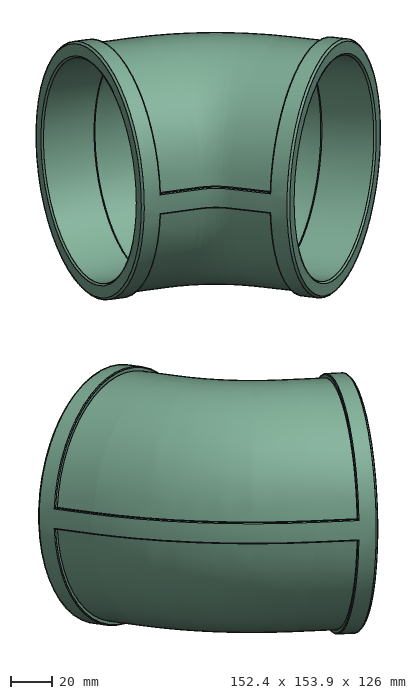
import cadquery as cq
import math


bend_angle = 45
end_to_corner = 64.5
straight_length = 31.0

collar_diameter = 126.0
collar_length = 10.0
collar_chamfer = 1.0
body_diameter = 121.8
rib_width = 10.5
recess_edge_chamfer = 0.5

bend_bore_diameter = 113.8
end_bore_diameter = 110.1
end_bore_length = 28.6
bore_chamfer = 0.9

collar_radius = collar_diameter / 2
bend_radius = (end_to_corner - straight_length) / math.tan(math.radians(bend_angle / 2))

first_end = cq.Plane(origin=(collar_radius, 0, 0), xDir=(1, 0, 0), normal=(0, 1, 0))

turn = math.radians(bend_angle)
axis_x = math.sin(turn)
axis_y = math.cos(turn)
second_end = cq.Plane(
    origin=(collar_radius + end_to_corner * axis_x, end_to_corner * (1 + axis_y), 0),
    xDir=(axis_y, -axis_x, 0),
    normal=(-axis_x, -axis_y, 0),
)
end_planes = (first_end, second_end)


def bent_rod(diameter, end_gap):
    """Solid rod along the elbow axis, stopping end_gap short of each end face."""
    radius = diameter / 2
    bend_start = cq.Workplane(first_end).workplane(offset=straight_length)
    rod = bend_start.circle(radius).revolve(bend_angle, (bend_radius, -1.5), (bend_radius, 1.5))
    for end_plane in end_planes:
        straight = (
            cq.Workplane(end_plane)
            .workplane(offset=end_gap)
            .circle(radius)
            .extrude(straight_length - end_gap)
        )
        rod = rod.union(straight)
    return rod


def collar(end_plane):
    """Raised band around one end, chamfered at its outer rim and its recess edge."""
    band = cq.Workplane("XY").circle(collar_radius).extrude(collar_length)
    band = band.faces("<Z").edges().chamfer(collar_chamfer)
    band = band.faces(">Z").edges().chamfer(recess_edge_chamfer)
    return band.val().moved(cq.Location(end_plane))


def ribs():
    """Bands flush with the collars along the inside and outside of the bend.

    They run on inside the collars as far as the outer rim chamfers.
    """
    reach = 6 * end_to_corner
    slab = cq.Workplane("XY").box(reach, reach, rib_width)
    band = bent_rod(collar_diameter, collar_chamfer).intersect(slab)
    return band.faces("<Z or >Z").edges().chamfer(recess_edge_chamfer)


def end_bore(end_plane):
    """Cutter for the narrower end bore, flared by a chamfer at both of its rims."""
    bore_radius = end_bore_diameter / 2
    flare_radius = bore_radius + bore_chamfer
    profile = [
        (0, 0),
        (flare_radius, 0),
        (bore_radius, bore_chamfer),
        (bore_radius, end_bore_length - bore_chamfer),
        (flare_radius, end_bore_length),
        (0, end_bore_length),
    ]
    cutter = cq.Workplane("XZ").polyline(profile).close().revolve(360, (0, 0), (0, 1))
    return cutter.val().moved(cq.Location(end_plane))


elbow = bent_rod(body_diameter, collar_length).union(ribs())
for plane in end_planes:
    elbow = elbow.union(collar(plane))

elbow = elbow.cut(bent_rod(bend_bore_diameter, end_bore_length))
for plane in end_planes:
    elbow = elbow.cut(end_bore(plane))

result = elbow